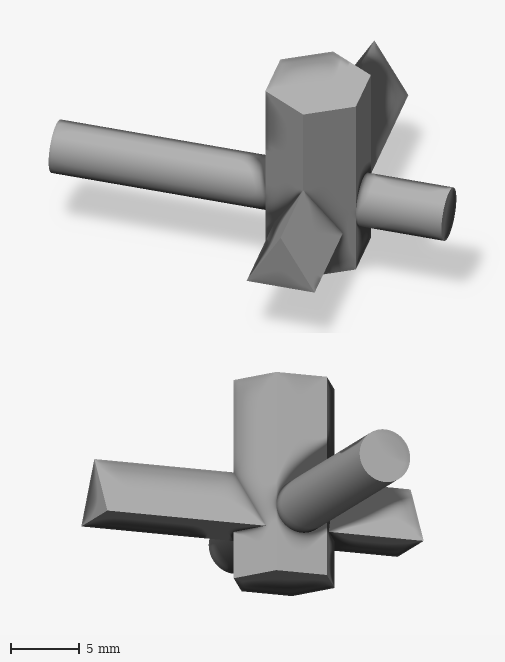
import cadquery as cq
import math

rod_diameter = 4.0
rod_length = 30.0
rod_reach_right = 10.0

hex_circumradius = 4.0
hex_height = 15.0
hex_depth_below = 5.0

triangle_circumradius = 3.0
triangle_reach_front = 10.0
triangle_reach_back = 15.0


def regular_polygon(sides, circumradius):
    """Corner points of a regular polygon with its first corner straight up."""
    angles = [math.pi / 2 + 2 * math.pi * i / sides for i in range(sides)]
    return [(circumradius * math.cos(a), circumradius * math.sin(a)) for a in angles]


def round_rod():
    """Round rod along X."""
    start = rod_reach_right - rod_length
    return cq.Workplane("YZ").workplane(offset=start).circle(rod_diameter / 2).extrude(rod_length)


def hexagonal_post():
    """Upright hexagonal post with corners toward +Y and -Y."""
    outline = regular_polygon(6, hex_circumradius)
    return cq.Workplane("XY").workplane(offset=-hex_depth_below).polyline(outline).close().extrude(hex_height)


def triangular_bar():
    """Triangular bar along Y with its ridge on top."""
    outline = regular_polygon(3, triangle_circumradius)
    length = triangle_reach_front + triangle_reach_back
    return cq.Workplane("XZ").workplane(offset=-triangle_reach_back).polyline(outline).close().extrude(length)


result = hexagonal_post().union(round_rod()).union(triangular_bar())